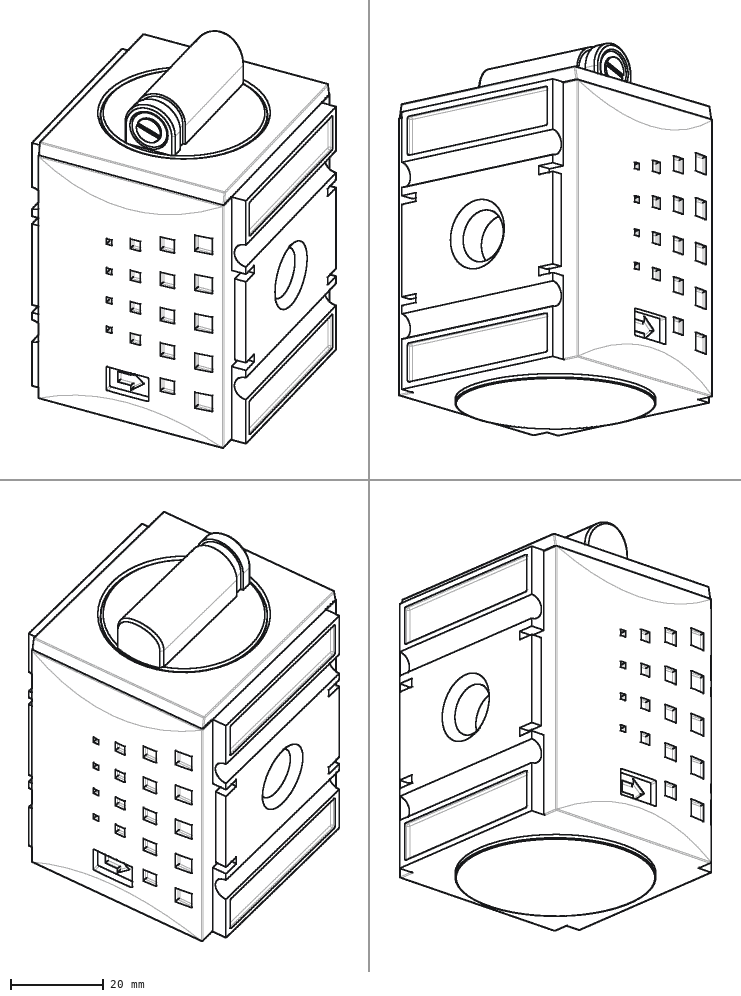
import cadquery as cq
import math

case_length = 45.0
case_depth = 51.0
case_height = 62.1
case_edge = 0.2
mid_z = case_height / 2

cap_height = 3.0
cap_base_depth = 50.6
cap_top_depth = 49.5
top_z = case_height + cap_height

overall_depth = 54.2
overall_height = 77.8
bulge_slope_height = 6.3

overall_length = 52.0
plate_thickness = (overall_length - case_length) / 2
plate_depth = 43.0
plate_root = 0.8
groove_radius = 2.8
groove_offset = 16.95
tab_half_height = 10.35
tab_slot_height = 1.95
tab_slot_reach = 4.0
tab_gap = 0.8
pocket_depth_y = 39.8
pocket_height = 8.7
pocket_offset = 25.4
pocket_depth = 1.0
pocket_round = 0.5
port_diameter = 11.4
port_chamfer = 1.95
port_depth = 8.0

neck_diameter = 37.35
neck_height = 0.7
flange_diameter = 43.5
flange_edge = 0.2
foot_height = 1.7

dimple_columns = [
    (-4.4, 1.4, 7.5, (-1, 0, 1, 2)),
    (1.95, 2.5, 8.0, (-1, 0, 1, 2)),
    (9.6, 3.35, 9.0, (-2, -1, 0, 1, 2)),
    (18.0, 4.05, 10.0, (-2, -1, 0, 1, 2)),
]
dimple_depth = 1.0
dimple_round = 0.3

arrow_z = 11.0
recess_length = 10.3
recess_height = 6.1
recess_depth = 1.8
recess_corner = 0.3
arrow_half_length = 3.2
shaft_half_height = 1.3
head_half_height = 2.6
arrow_depth = 0.7
arrow_round = 0.4

seat_diameter = 36.2
seat_mouth_diameter = 37.35
seat_depth = cap_height
disc_diameter = 36.0
disc_top_diameter = 35.0
handle_radius = 6.1
handle_top_z = overall_height - foot_height
handle_axis_z = handle_top_z - handle_radius
handle_front_y = -16.7
handle_edge = 0.55
neck_front_y = -13.7
neck_back_y = -11.3
handle_neck_step = 0.6
bore_diameter = 8.5
bore_chamfer = 0.4
bore_depth = 0.2
screw_diameter = 5.8
screw_rise = 0.2
screw_slot_width = 0.8
screw_slot_depth = 0.4
screw_slot_angle = 19

bulge_rise = (overall_depth - case_depth) / 2
bulge_half_length = case_length / 2 - case_edge
bulge_radius = (bulge_half_length**2 + bulge_rise**2) / (2 * bulge_rise)


def bulge_y(x):
    """Distance of the bulged face from the XZ plane at the given X."""
    return overall_depth / 2 - bulge_radius + math.sqrt(bulge_radius**2 - x**2)


def make_case():
    case = cq.Workplane("XY").box(
        case_length, case_depth, case_height, centered=(True, True, False)
    ).edges().fillet(case_edge)

    plan = (
        cq.Workplane("XY")
        .workplane(offset=case_edge)
        .moveTo(-bulge_half_length, -case_depth / 2)
        .threePointArc((0, -overall_depth / 2), (bulge_half_length, -case_depth / 2))
        .lineTo(bulge_half_length, case_depth / 2)
        .threePointArc((0, overall_depth / 2), (-bulge_half_length, case_depth / 2))
        .close()
        .extrude(case_height - 2 * case_edge)
    )
    low, high = case_edge, case_height - case_edge
    side = (
        cq.Workplane("YZ")
        .polyline([
            (-case_depth / 2, low),
            (case_depth / 2, low),
            (overall_depth / 2, bulge_slope_height),
            (overall_depth / 2, case_height - bulge_slope_height),
            (case_depth / 2, high),
            (-case_depth / 2, high),
            (-overall_depth / 2, case_height - bulge_slope_height),
            (-overall_depth / 2, bulge_slope_height),
        ])
        .close()
        .extrude(case_length / 2, both=True)
    )
    return case.union(plan.intersect(side))


def make_cap():
    profile = [
        (-cap_base_depth / 2, case_height),
        (cap_base_depth / 2, case_height),
        (cap_top_depth / 2, top_z),
        (-cap_top_depth / 2, top_z),
    ]
    cap = cq.Workplane("YZ").polyline(profile).close().extrude(case_length / 2, both=True)
    return cap.edges("not <Z").fillet(case_edge)


def make_plate():
    """Connection plate on the -X side, with its grooves, tab and label pockets."""
    outer_x = -overall_length / 2
    plate = cq.Workplane("XY").box(
        plate_thickness + plate_root, plate_depth, case_height, centered=(False, True, False)
    ).translate((outer_x, 0, 0))

    for side in (-1, 1):
        groove = (
            cq.Workplane("XZ")
            .center(outer_x, mid_z + side * groove_offset)
            .circle(groove_radius)
            .extrude(plate_depth / 2, both=True)
        )
        pocket = (
            cq.Workplane("XY")
            .box(2 * pocket_depth, pocket_depth_y, pocket_height)
            .edges("|X or >X").fillet(pocket_round)
            .translate((outer_x, 0, mid_z + side * pocket_offset))
        )
        plate = plate.cut(groove).cut(pocket)

    slot_span = 2 * (tab_half_height + tab_slot_height)
    for side in (-1, 1):
        slot_y = side * (plate_depth - tab_slot_reach) / 2
        around = cq.Workplane("XY").box(
            plate_thickness, tab_slot_reach, slot_span, centered=(False, True, True)
        )
        tab = cq.Workplane("XY").box(
            plate_thickness - tab_gap, tab_slot_reach, 2 * tab_half_height, centered=(False, True, True)
        )
        plate = plate.cut(around.cut(tab).translate((outer_x, slot_y, mid_z)))
    return plate


def make_port():
    """Countersunk port bored in from the -X side."""
    outer_x = -overall_length / 2
    bore_radius = port_diameter / 2
    return (
        cq.Workplane("XY")
        .polyline([
            (outer_x, 0),
            (outer_x, bore_radius + port_chamfer),
            (outer_x + port_chamfer, bore_radius),
            (outer_x + port_depth, bore_radius),
            (outer_x + port_depth, 0),
        ])
        .close()
        .revolve(360, (0, 0), (1, 0))
        .translate((0, 0, mid_z))
    )


def make_foot():
    neck = cq.Workplane("XY").circle(neck_diameter / 2).extrude(-foot_height)
    flange = (
        cq.Workplane("XY")
        .workplane(offset=-foot_height)
        .circle(flange_diameter / 2)
        .extrude(foot_height - neck_height)
        .faces("<Z").chamfer(flange_edge)
    )
    return neck.union(flange)


def make_dimples():
    """Cutters for the square dimples in the -Y face."""
    cutters = []
    for x, size, pitch, rows in dimple_columns:
        cutter = (
            cq.Workplane("XY")
            .box(size, 2 * dimple_depth, size)
            .faces(">Y").edges().fillet(dimple_round)
        )
        for row in rows:
            cutters.append(cutter.translate((x, -bulge_y(x), mid_z + row * pitch)))
    return cutters


def make_arrow_recess():
    """Cutters for the recess in the -Y face and for the arrow sunk in its floor."""
    floor_y = -overall_depth / 2 + recess_depth
    recess = (
        cq.Workplane("XY")
        .box(recess_length, 2 * recess_depth, recess_height)
        .edges("|Y").fillet(recess_corner)
        .translate((0, -overall_depth / 2, arrow_z))
    )
    arrow = (
        cq.Workplane("XZ", origin=(0, floor_y, arrow_z))
        .polyline([
            (-arrow_half_length, -shaft_half_height),
            (0, -shaft_half_height),
            (0, -head_half_height),
            (arrow_half_length, 0),
            (0, head_half_height),
            (0, shaft_half_height),
            (-arrow_half_length, shaft_half_height),
        ])
        .close()
        .extrude(arrow_depth, both=True)
        .faces(">Y").edges().fillet(arrow_round)
    )
    return [recess, arrow]


def make_seat():
    """Recess for the knob disc, with a chamfered mouth."""
    mouth = (seat_mouth_diameter - seat_diameter) / 2
    return (
        cq.Workplane("XZ")
        .polyline([
            (0, top_z - seat_depth),
            (seat_diameter / 2, top_z - seat_depth),
            (seat_diameter / 2, top_z - mouth),
            (seat_mouth_diameter / 2, top_z),
            (0, top_z),
        ])
        .close()
        .revolve(360, (0, 0), (0, 1))
    )


def make_housing():
    body = make_case().union(make_cap()).union(make_foot())
    for angle in (0, 180):
        body = body.union(make_plate().rotate((0, 0, 0), (0, 0, 1), angle))
    for angle in (0, 180):
        for cutter in [make_port()] + make_dimples() + make_arrow_recess():
            body = body.cut(cutter.rotate((0, 0, 0), (0, 0, 1), angle))
    return body.cut(make_seat())


def handle_section(radius, start_y, end_y):
    """Round-topped bar along Y, standing on the disc."""
    return (
        cq.Workplane("XZ", origin=(0, start_y, 0))
        .moveTo(-radius, top_z)
        .lineTo(radius, top_z)
        .lineTo(radius, handle_axis_z)
        .threePointArc((0, handle_axis_z + radius), (-radius, handle_axis_z))
        .close()
        .extrude(start_y - end_y)
    )


def make_handle():
    back = handle_section(handle_radius, disc_diameter / 2, neck_back_y)
    disc_column = (
        cq.Workplane("XY")
        .workplane(offset=top_z)
        .circle(disc_diameter / 2)
        .extrude(handle_top_z - top_z)
    )
    back = back.intersect(disc_column)
    back = back.faces(">Y").edges("not <Z").chamfer(handle_edge)
    neck = handle_section(handle_radius - handle_neck_step, neck_back_y, neck_front_y)
    front = handle_section(handle_radius, neck_front_y, handle_front_y)
    front = front.faces("<Y").edges("not <Z").chamfer(handle_edge)
    return back.union(neck).union(front)


def make_screw():
    screw_front_y = handle_front_y - screw_rise
    screw = (
        cq.Workplane("XZ", origin=(0, handle_front_y + bore_depth, handle_axis_z))
        .circle(screw_diameter / 2)
        .extrude(bore_depth + screw_rise)
    )
    slot = (
        cq.Workplane("XY")
        .box(screw_diameter, 2 * screw_slot_depth, screw_slot_width)
        .rotate((0, 0, 0), (0, 1, 0), screw_slot_angle)
        .translate((0, screw_front_y, handle_axis_z))
    )
    return screw.cut(slot)


def make_knob():
    disc = (
        cq.Workplane("XY")
        .workplane(offset=top_z - seat_depth)
        .circle(disc_diameter / 2)
        .extrude(seat_depth)
        .faces(">Z").chamfer((disc_diameter - disc_top_diameter) / 2)
    )
    bore = (
        cq.Workplane("XZ", origin=(0, handle_front_y + bore_depth, handle_axis_z))
        .circle(bore_diameter / 2)
        .workplane(offset=bore_depth)
        .circle(bore_diameter / 2 + bore_chamfer)
        .loft()
    )
    return disc.union(make_handle()).cut(bore).union(make_screw())


housing = make_housing().solids()
knob = make_knob().solids()

result = cq.Compound.makeCompound([housing.val(), knob.val()])